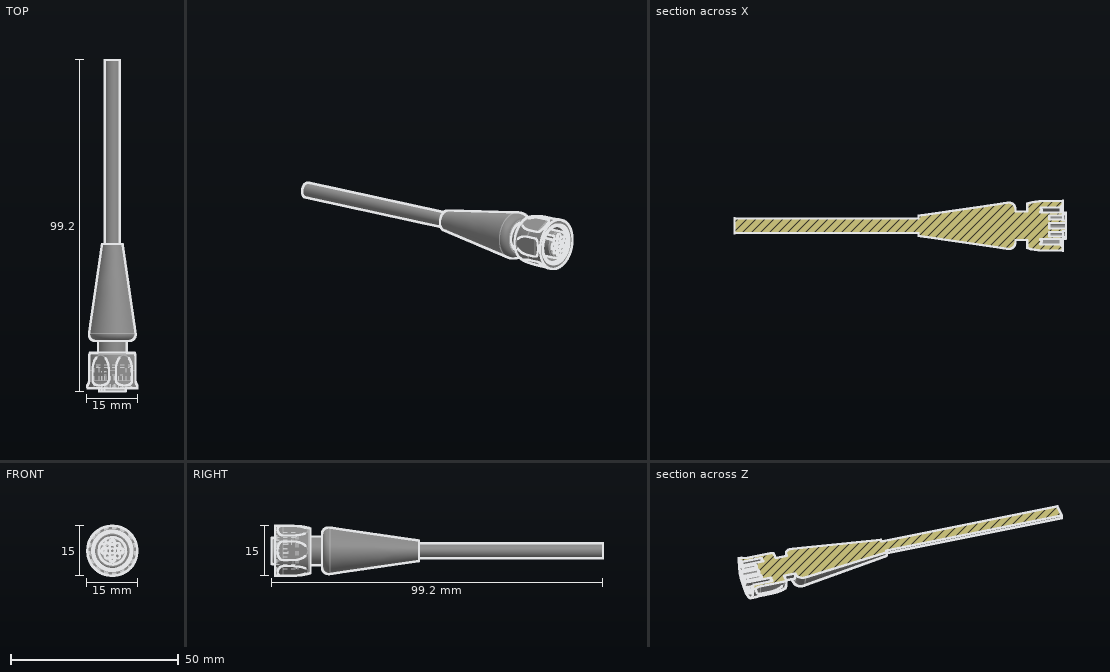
import cadquery as cq
import math

total_length = 99.2

cable_diameter = 4.6

boot_front = 15.1
boot_cone_front = 17.45
boot_rear = 44.2
boot_front_face_diameter = 10.2
boot_max_diameter = 14.0
boot_rear_diameter = 6.2

neck_diameter = 8.7

nut_diameter = 15.0
nut_front = 1.0
nut_curve_front = 6.4
nut_chamfer_front = 11.1
nut_rear = 11.7
nut_curve_rear_diameter = 13.8
nut_rear_diameter = 13.4

flat_count = 6
flat_distance = 6.95
flat_runout_start = 3.4
flat_front = 1.85

bore_diameter = 10.95
bore_mouth_diameter = 12.1
bore_mouth_cone_front = 1.3
bore_mouth_cone_rear = 1.65
bore_floor = 8.0

seal_section_radius = 0.7

insert_diameter = 8.1
insert_edge_radius = 0.4
key_angle = 135
key_groove_width = 1.25
key_groove_inner_radius = 3.0
key_groove_depth = 6.0

socket_diameter = 1.5
socket_depth = 5.0
outer_socket_diameter = 1.15
outer_counterbore_diameter = 1.65
outer_counterbore_depth = 1.0
outer_socket_radius = 2.5
outer_socket_count = 4

recess_diameter = 1.6
recess_radius = 2.15
recess_depth = 0.1


def revolve_about_y(profile):
    """Revolve a (radius, y) outline drawn in the XY plane about the Y axis."""
    return profile.close().revolve(360, (0, 0, 0), (0, 1, 0))


def bar(diameter, start, end):
    """Round bar along Y."""
    return cq.Workplane("XZ", origin=(0, start, 0)).circle(diameter / 2).extrude(start - end)


def make_boot():
    """Tapered boot with a rounded front shoulder that is tangent to the cone."""
    return revolve_about_y(
        cq.Workplane("XY")
        .moveTo(0, boot_front)
        .lineTo(0, boot_rear)
        .lineTo(boot_rear_diameter / 2, boot_rear)
        .lineTo(boot_max_diameter / 2, boot_cone_front)
        .tangentArcPoint((boot_front_face_diameter / 2, boot_front), relative=False)
    )


def make_nut_blank():
    """Solid nut: cylinder at the front, then a curve that narrows towards a chamfered rear edge."""
    return revolve_about_y(
        cq.Workplane("XY")
        .moveTo(0, nut_front)
        .lineTo(nut_diameter / 2, nut_front)
        .lineTo(nut_diameter / 2, nut_curve_front)
        .tangentArcPoint((nut_curve_rear_diameter / 2, nut_chamfer_front), relative=False)
        .lineTo(nut_rear_diameter / 2, nut_rear)
        .lineTo(0, nut_rear)
    )


def make_flat_cutter():
    """Cutter for the flat on the +X side; the flat sweeps outwards in an arc at its front."""
    outside = nut_diameter
    return (
        cq.Workplane("XY", origin=(0, 0, -nut_diameter / 2))
        .moveTo(outside, nut_rear)
        .lineTo(flat_distance, nut_rear)
        .lineTo(flat_distance, flat_runout_start)
        .tangentArcPoint((nut_diameter / 2, flat_front), relative=False)
        .lineTo(outside, flat_front)
        .close()
        .extrude(nut_diameter)
    )


def make_nut():
    """Nut with its ring of grip flats and a bore that opens through a cone."""
    nut = make_nut_blank()
    cutter = make_flat_cutter()
    for index in range(flat_count):
        nut = nut.cut(cutter.rotate((0, 0, 0), (0, 1, 0), index * 360 / flat_count))
    bore = revolve_about_y(
        cq.Workplane("XY")
        .moveTo(0, nut_front)
        .lineTo(bore_mouth_diameter / 2, nut_front)
        .lineTo(bore_mouth_diameter / 2, bore_mouth_cone_front)
        .lineTo(bore_diameter / 2, bore_mouth_cone_rear)
        .lineTo(bore_diameter / 2, bore_floor)
        .lineTo(0, bore_floor)
    )
    return nut.cut(bore)


def make_seal():
    """Ring of round section; its rear half is sunk into the bore floor."""
    ring_radius = bore_diameter / 2 - seal_section_radius
    return (
        cq.Workplane("XY")
        .moveTo(ring_radius, bore_floor)
        .circle(seal_section_radius)
        .revolve(360, (0, 0, 0), (0, 1, 0))
    )


def ring_points(radius, first_angle):
    """Evenly spaced points on a circle, one for each outer socket."""
    points = []
    for index in range(outer_socket_count):
        angle = math.radians(first_angle + index * 360 / outer_socket_count)
        points.append((radius * math.cos(angle), radius * math.sin(angle)))
    return points


def make_insert():
    """Contact insert with a rounded front edge, a key groove, sockets and recesses."""
    insert = bar(insert_diameter, 0, nut_rear).faces("<Y").edges().fillet(insert_edge_radius)
    tip = cq.Workplane("XZ")
    groove = (
        tip.center(key_groove_inner_radius + insert_diameter / 2, 0)
        .slot2D(insert_diameter, key_groove_width)
        .extrude(-key_groove_depth)
        .rotate((0, 0, 0), (0, 1, 0), -key_angle)
    )
    center_socket = tip.circle(socket_diameter / 2).extrude(-socket_depth)
    socket_points = ring_points(outer_socket_radius, 0)
    outer_sockets = tip.pushPoints(socket_points).circle(outer_socket_diameter / 2).extrude(-socket_depth)
    counterbores = (
        tip.pushPoints(socket_points)
        .circle(outer_counterbore_diameter / 2)
        .extrude(-outer_counterbore_depth)
    )
    half_pitch = 180 / outer_socket_count
    recess_points = ring_points(recess_radius, half_pitch)
    recesses = tip.pushPoints(recess_points).circle(recess_diameter / 2).extrude(-recess_depth)
    for cutter in (groove, center_socket, outer_sockets, counterbores, recesses):
        insert = insert.cut(cutter)
    return insert


cable = bar(cable_diameter, boot_rear, total_length)
neck = bar(neck_diameter, nut_rear, boot_front)
result = make_nut().union(make_seal()).union(make_insert())
result = result.union(neck).union(make_boot()).union(cable)